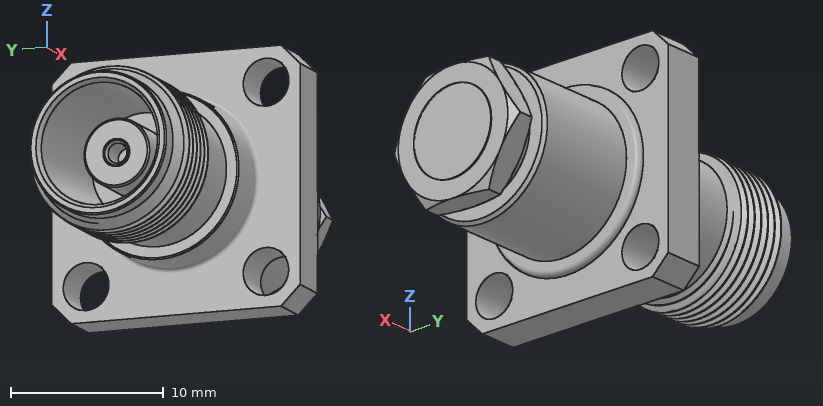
import cadquery as cq
import math

total_length = 28.5

neck_radius = 4.82
rim_chamfer = 0.1
thread_start = 1.25
thread_end = 6.57
thread_radius = 5.55
thread_rise = thread_radius - neck_radius

thread_pitch = 0.667
thread_depth = 0.44
thread_root_flat = 0.08
groove_start = 0.82
groove_turns = 9
flank_angle = math.radians(30)
groove_overshoot = 0.04

collar_radius = 5.66
collar_start = 10.75
collar_chamfer = 0.1
collar_fillet = 0.28

flange_size = 17.53
flange_start = 13.9
flange_thickness = 3.1
flange_corner_chamfer = 1.35
mounting_hole_spacing = 12.7
mounting_hole_diameter = 3.2
flange_end = flange_start + flange_thickness

ring_radius = 6.62
ring_thickness = 0.52
ring_fillet = 0.4
barrel_radius = 5.6
barrel_end = 25.68
barrel_chamfer = 0.25

socket_mouth_radius = 4.36
socket_front_radius = 4.1
socket_floor_radius = 3.67
socket_mouth_depth = 0.3
socket_depth = 8.3
post_radius = 2.31
post_front = 3.3
post_chamfer = 0.12

contact_radius = 0.93
contact_recess = 0.05
contact_mouth_radius = 0.84
contact_bore_radius = 0.67
contact_mouth_depth = contact_mouth_radius - contact_bore_radius
contact_bore_depth = 2.0

nut_across_flats = 9.5
nut_shank_radius = 4.3
nut_hex_start = 26.43
nut_end_radius = 4.76
nut_face_radius = 3.35
nut_face_height = 0.08
nut_chamfer_angle = math.radians(30)


def cylinder_along_x(radius, start, end):
    return cq.Workplane("YZ", origin=(start, 0, 0)).circle(radius).extrude(end - start)


def revolve_around_x(profile):
    return profile.close().revolve(360, (0, 0, 0), (1, 0, 0))


def make_nose_outline():
    """Plain nose, thread band with a cone at each end, and neck, as one turned shape."""
    profile = (
        cq.Workplane("XY")
        .moveTo(0, 0)
        .lineTo(0, neck_radius - rim_chamfer)
        .lineTo(rim_chamfer, neck_radius)
        .lineTo(thread_start, neck_radius)
        .lineTo(thread_start + thread_rise, thread_radius)
        .lineTo(thread_end - thread_rise, thread_radius)
        .lineTo(thread_end, neck_radius)
        .lineTo(collar_start, neck_radius)
        .lineTo(collar_start, 0)
    )
    return revolve_around_x(profile)


def make_thread_groove():
    """Right-handed V groove, swept up Z from the origin and then laid along X."""
    root_radius = thread_radius - thread_depth
    outer_radius = thread_radius + groove_overshoot
    root_half = thread_root_flat / 2
    outer_half = root_half + (outer_radius - root_radius) * math.tan(flank_angle)
    helix = cq.Wire.makeHelix(thread_pitch, groove_turns * thread_pitch, root_radius)
    groove = (
        cq.Workplane("XZ")
        .polyline([
            (root_radius, root_half),
            (outer_radius, outer_half),
            (outer_radius, -outer_half),
            (root_radius, -root_half),
        ])
        .close()
        .sweep(cq.Workplane(helix), isFrenet=True)
    )
    return groove.rotate((0, 0, 0), (0, 1, 0), 90).translate((groove_start, 0, 0))


def make_threaded_nose():
    """Grooved rod trimmed to the nose outline, so the thread runs out on the end cones."""
    grooved_rod = cylinder_along_x(thread_radius, 0, collar_start).cut(make_thread_groove())
    return grooved_rod.intersect(make_nose_outline())


def make_collar():
    """Collar with a chamfered front edge and a concave fillet against the flange."""
    fillet_start = flange_start - collar_fillet
    fillet_dip = collar_fillet * math.sqrt(0.5)
    fillet_middle = (fillet_start + fillet_dip, collar_radius + collar_fillet - fillet_dip)
    profile = (
        cq.Workplane("XY")
        .moveTo(collar_start, 0)
        .lineTo(collar_start, collar_radius - collar_chamfer)
        .lineTo(collar_start + collar_chamfer, collar_radius)
        .lineTo(fillet_start, collar_radius)
        .threePointArc(fillet_middle, (flange_start, collar_radius + collar_fillet))
        .lineTo(flange_start, 0)
    )
    return revolve_around_x(profile)


def make_flange():
    return (
        cq.Workplane("YZ", origin=(flange_start, 0, 0))
        .rect(flange_size, flange_size)
        .extrude(flange_thickness)
        .edges("|X")
        .chamfer(flange_corner_chamfer)
        .faces("<X")
        .workplane(origin=(flange_start, 0, 0))
        .rect(mounting_hole_spacing, mounting_hole_spacing, forConstruction=True)
        .vertices()
        .hole(mounting_hole_diameter)
    )


def make_rear_barrel():
    ring = cylinder_along_x(ring_radius, flange_end, flange_end + ring_thickness)
    ring = ring.faces(">X").edges().fillet(ring_fillet)
    barrel = cylinder_along_x(barrel_radius, flange_end, barrel_end)
    barrel = barrel.faces(">X").edges().chamfer(barrel_chamfer)
    return ring.union(barrel)


def make_socket():
    """Space around the dielectric post, open at the front."""
    profile = (
        cq.Workplane("XY")
        .moveTo(0, 0)
        .lineTo(0, socket_mouth_radius)
        .lineTo(socket_mouth_depth, socket_front_radius)
        .lineTo(socket_depth, socket_floor_radius)
        .lineTo(socket_depth, post_radius)
        .lineTo(post_front + post_chamfer, post_radius)
        .lineTo(post_front, post_radius - post_chamfer)
        .lineTo(post_front, 0)
    )
    return revolve_around_x(profile)


def make_contact_bore():
    contact_front = post_front + contact_recess
    bore_end = contact_front + contact_bore_depth
    profile = (
        cq.Workplane("XY")
        .moveTo(post_front, 0)
        .lineTo(post_front, contact_radius)
        .lineTo(contact_front, contact_radius)
        .lineTo(contact_front, contact_mouth_radius)
        .lineTo(contact_front + contact_mouth_depth, contact_bore_radius)
        .lineTo(bore_end, contact_bore_radius)
        .lineTo(bore_end, 0)
    )
    return revolve_around_x(profile)


def make_housing():
    outside = make_flange().union(make_collar()).union(make_rear_barrel())
    outside = outside.union(make_threaded_nose())
    return outside.cut(make_socket()).cut(make_contact_bore())


def make_clamp_nut():
    """Hex with both ends turned to a cone, a low end face and a round shank meeting the barrel."""
    hex_end = total_length - nut_face_height
    corner_radius = nut_across_flats / math.sqrt(3)
    cone_length = (corner_radius - nut_end_radius) * math.tan(nut_chamfer_angle)
    hexagon = (
        cq.Workplane("YZ", origin=(nut_hex_start, 0, 0))
        .polygon(6, 2 * corner_radius)
        .extrude(hex_end - nut_hex_start)
    )
    turned = revolve_around_x(
        cq.Workplane("XY")
        .moveTo(nut_hex_start, 0)
        .lineTo(nut_hex_start, nut_end_radius)
        .lineTo(nut_hex_start + cone_length, corner_radius)
        .lineTo(hex_end - cone_length, corner_radius)
        .lineTo(hex_end, nut_end_radius)
        .lineTo(hex_end, 0)
    )
    shank = cylinder_along_x(nut_shank_radius, barrel_end, nut_hex_start)
    end_face = cylinder_along_x(nut_face_radius, hex_end, total_length)
    return hexagon.intersect(turned).union(shank).union(end_face)


housing = make_housing()
clamp_nut = make_clamp_nut()

result = cq.Compound.makeCompound([*housing.solids().vals(), *clamp_nut.solids().vals()])